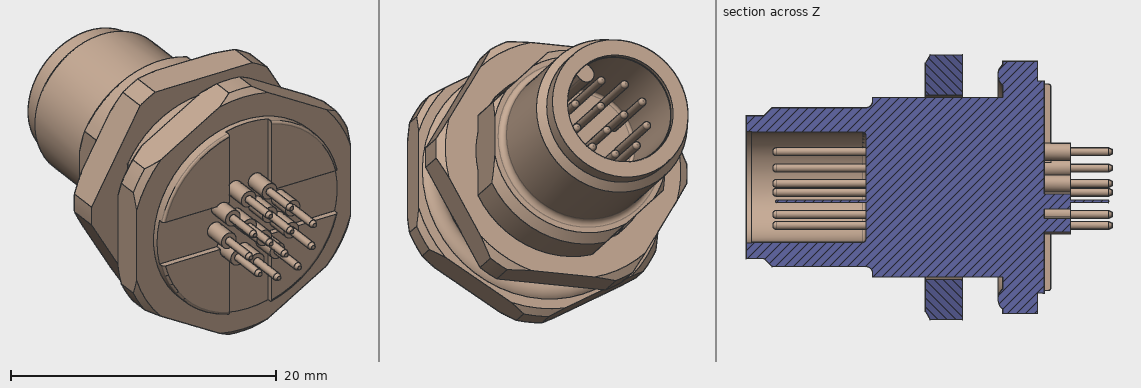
import cadquery as cq
import math

overall_length = 27.6

lip_diameter = 10.8
lip_length = 1.35
barrel_diameter = 12.0
barrel_end = 9.03

shank_start = 9.52
shank_diameter = 15.24
shank_face_diameter = 13.85
flat_distance = 6.75
flat_angles = (0, 45, 180, 225)

flange_start = 19.32
flange_end = 21.97
flange_across_flats = 19.02
flange_corner_diameter = 20.9
flange_chamfer = 0.47
seal_bulge = 0.35
seal_inner_radius = 7.67
seal_outer_radius = 9.22

rear_diameter = 16.0
rear_end = 22.95
rear_fillet = 0.207
slot_width = 3.75
slot_depth = 0.5

mouth_diameter = 8.4
mouth_depth = 0.41
socket_diameter = 8.28
socket_fillet = 0.25
socket_depth = barrel_end

key_diameter = 1.3
key_center_radius = 3.67
key_angle = 45.0
key_start = mouth_depth

pin_diameter = 0.6
pin_start = 2.01
front_tip_fillet = 0.28
rear_tip_length = 0.3
rear_tip_diameter = 0.33
pin_collar_diameter = 1.3
pin_collar_end = 24.45
outer_pin_count = 9
outer_pin_radius = 2.9
outer_pin_step = 37.5
inner_pin_count = 3
inner_pin_radius = 1.1

nut_start = 13.5
nut_end = 16.3
nut_across_flats = 18.02
nut_corner_diameter = 19.98
nut_face_diameter = 18.7
nut_chamfer_angle = 30.0
nut_bore_diameter = shank_face_diameter


def revolve_profile(profile):
    """Revolve a closed (X, radius) profile about the X axis."""
    return profile.close().revolve(360, (0, 0, 0), (1, 0, 0))


def cylinder(diameter, start, end, center=(0, 0)):
    """Cylinder along X around the given (Y, Z) center."""
    return cq.Workplane("YZ", origin=(start, 0, 0)).center(*center).circle(diameter / 2).extrude(end - start)


def hexagon(across_flats, start, end, turn):
    """Hexagonal prism along X, with a corner on +Y before it is turned about X."""
    corner_circle = across_flats / math.cos(math.radians(30))
    prism = cq.Workplane("YZ", origin=(start, 0, 0)).polygon(6, corner_circle).extrude(end - start)
    return prism.rotate((0, 0, 0), (1, 0, 0), turn)


def polar(radius, angle):
    """(Y, Z) point at an angle measured from +Y towards +Z."""
    return (radius * math.cos(math.radians(angle)), radius * math.sin(math.radians(angle)))


def make_barrel():
    lip_radius = lip_diameter / 2
    barrel_radius = barrel_diameter / 2
    chamfer = barrel_radius - lip_radius
    flare = shank_start - barrel_end
    diagonal = flare * math.sqrt(0.5)
    return revolve_profile(
        cq.Workplane("XY")
        .lineTo(0, lip_radius)
        .lineTo(lip_length, lip_radius)
        .lineTo(lip_length + chamfer, barrel_radius)
        .lineTo(barrel_end, barrel_radius)
        .threePointArc(
            (barrel_end + diagonal, barrel_radius + flare - diagonal),
            (shank_start, barrel_radius + flare),
        )
        .lineTo(shank_start, 0)
    )


def make_shank():
    chamfer = (shank_diameter - shank_face_diameter) / 2
    shank = cylinder(shank_diameter, shank_start, flange_start).faces("<X").chamfer(chamfer)
    length = flange_start - shank_start
    for angle in flat_angles:
        waste = cq.Workplane("XY").box(length, shank_diameter, shank_diameter, centered=(False, False, True))
        waste = waste.translate((shank_start, flat_distance, 0))
        shank = shank.cut(waste.rotate((0, 0, 0), (1, 0, 0), angle))
    return shank


def make_flange():
    corner_limit = cylinder(flange_corner_diameter, flange_start, flange_end)
    corner_limit = corner_limit.faces("<X or >X").chamfer(flange_chamfer)
    return hexagon(flange_across_flats, flange_start, flange_end, 30).intersect(corner_limit)


def make_seal():
    middle_radius = (seal_inner_radius + seal_outer_radius) / 2
    return revolve_profile(
        cq.Workplane("XY")
        .moveTo(flange_start, seal_inner_radius)
        .threePointArc((flange_start - seal_bulge, middle_radius), (flange_start, seal_outer_radius))
    )


def make_rear_collar():
    collar = cylinder(rear_diameter, flange_end, rear_end).faces(">X").edges().fillet(rear_fillet)
    slot_middle = rear_end - slot_depth / 2
    for width_y, width_z in ((slot_width, rear_diameter), (rear_diameter, slot_width)):
        slot = cq.Workplane("XY").box(slot_depth, width_y, width_z).translate((slot_middle, 0, 0))
        collar = collar.cut(slot)
    return collar


def make_socket():
    socket = cylinder(socket_diameter, 0, socket_depth).faces(">X").edges().fillet(socket_fillet)
    return socket.union(cylinder(mouth_diameter, 0, mouth_depth))


def make_key():
    length = socket_depth - key_start
    wall_radius = mouth_diameter / 2
    key = cylinder(key_diameter, key_start, socket_depth, (key_center_radius, 0))
    web = cq.Workplane("XY").box(
        length, wall_radius - key_center_radius, key_diameter, centered=(False, False, True)
    )
    key = key.union(web.translate((key_start, key_center_radius, 0)))
    return key.rotate((0, 0, 0), (1, 0, 0), key_angle)


def make_pin(center):
    """One contact: a pin with a domed front tip, a tapered rear tip and a collar on the solder side."""
    taper = (pin_diameter - rear_tip_diameter) / 2
    pin = cylinder(pin_diameter, pin_start, overall_length, center)
    pin = pin.faces("<X").edges().fillet(front_tip_fillet)
    pin = pin.faces(">X").chamfer(rear_tip_length, taper)
    return pin.union(cylinder(pin_collar_diameter, rear_end - slot_depth, pin_collar_end, center))


def pin_centers():
    opposite_key = key_angle + 180
    first = opposite_key - outer_pin_step * (outer_pin_count - 1) / 2
    outer = [polar(outer_pin_radius, first + i * outer_pin_step) for i in range(outer_pin_count)]
    inner = [polar(inner_pin_radius, key_angle + i * 360 / inner_pin_count) for i in range(inner_pin_count)]
    return outer + inner


def make_connector():
    body = make_barrel()
    for section in (make_shank(), make_flange(), make_seal(), make_rear_collar()):
        body = body.union(section)
    body = body.cut(make_socket()).union(make_key())
    for center in pin_centers():
        body = body.union(make_pin(center))
    return body


def make_nut():
    chamfer_depth = (nut_corner_diameter - nut_face_diameter) / 2
    chamfer_length = chamfer_depth * math.tan(math.radians(nut_chamfer_angle))
    limit = revolve_profile(
        cq.Workplane("XY")
        .moveTo(nut_start, 0)
        .lineTo(nut_start, nut_face_diameter / 2)
        .lineTo(nut_start + chamfer_length, nut_corner_diameter / 2)
        .lineTo(nut_end, nut_corner_diameter / 2)
        .lineTo(nut_end, 0)
    )
    nut = hexagon(nut_across_flats, nut_start, nut_end, 0).intersect(limit)
    return nut.cut(cylinder(nut_bore_diameter, nut_start, nut_end)).cut(make_shank())


connector = make_connector()
nut = make_nut()
result = cq.Compound.makeCompound([connector.val(), nut.val()])